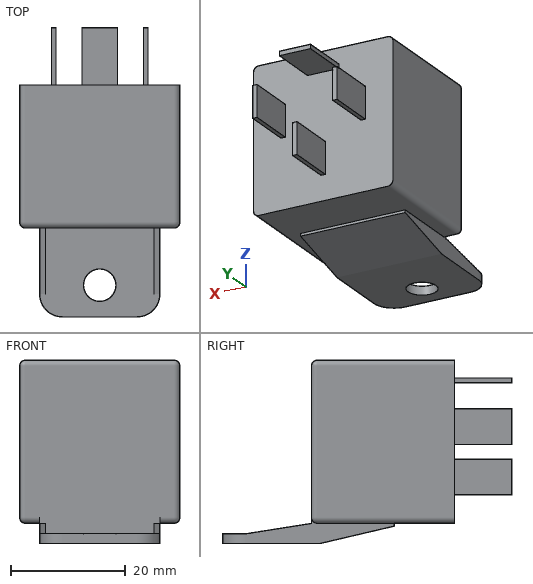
import cadquery as cq

overall_length = 50.5

cover_width = 28.0
cover_depth = 25.0
cover_height = 28.5
cover_radius = 1.0

bracket_drop = 3.55
bracket_width = 21.0
bracket_reach = 15.5
flange_thickness = 1.7
corner_radius = 4.0
side_rib_width = 1.0
hole_diameter = 5.6
hole_to_tip = 5.55

ramp_back = 14.5
ramp_foot = 1.55
ramp_step = 0.5

blade_length = overall_length - cover_depth - bracket_reach
blade_width = 6.25
blade_thickness = 0.85
side_blade_offset = 8.05

top_blade_depth = 3.55
side_blade_depth = 11.6
bottom_blade_depth = 20.4

cover_bottom = bracket_drop
cover_top = cover_bottom + cover_height
bracket_tip = -bracket_reach
rib_end = bracket_tip + corner_radius


def make_cover():
    """Box rounded on every edge except those of its back face."""
    box = cq.Workplane("XY", origin=(0, 0, cover_bottom)).box(
        cover_width, cover_depth, cover_height, centered=(True, False, False)
    )
    return box.edges("not >Y").fillet(cover_radius)


def make_bracket_block():
    """Side outline of ramp, flange and rib at full width, let into the cover by its edge radius."""
    bracket_top = cover_bottom + cover_radius
    outline = (
        cq.Workplane("YZ")
        .moveTo(ramp_back, bracket_top)
        .lineTo(ramp_back, cover_bottom - ramp_step)
        .lineTo(ramp_foot, 0)
        .lineTo(bracket_tip, 0)
        .lineTo(bracket_tip, flange_thickness)
        .lineTo(rib_end, flange_thickness)
        .lineTo(0, cover_bottom)
        .lineTo(0, bracket_top)
        .close()
    )
    return outline.extrude(bracket_width / 2, both=True)


def make_bracket():
    """Flange with a sloping rib along each side, rounded tip corners and a mounting hole."""
    between_ribs = cq.Workplane("XY", origin=(0, bracket_tip, flange_thickness)).box(
        bracket_width - 2 * side_rib_width, bracket_reach, bracket_drop, centered=(True, False, False)
    )
    hole = (
        cq.Workplane("XY", origin=(0, bracket_tip + hole_to_tip, 0))
        .circle(hole_diameter / 2)
        .extrude(flange_thickness)
    )
    bracket = make_bracket_block().cut(between_ribs)
    return bracket.edges("|Z and <Y").fillet(corner_radius).cut(hole)


def make_blade(x, depth_below_top, size_x, size_z):
    """Terminal blade standing out from the back face of the cover."""
    back_plane = cq.Workplane("XZ", origin=(x, cover_depth, cover_top - depth_below_top))
    return back_plane.rect(size_x, size_z).extrude(-blade_length)


result = make_cover().union(make_bracket())

result = result.union(make_blade(0, top_blade_depth, blade_width, blade_thickness))
for x, depth in (
    (-side_blade_offset, side_blade_depth),
    (side_blade_offset, side_blade_depth),
    (0, bottom_blade_depth),
):
    result = result.union(make_blade(x, depth, blade_thickness, blade_width))